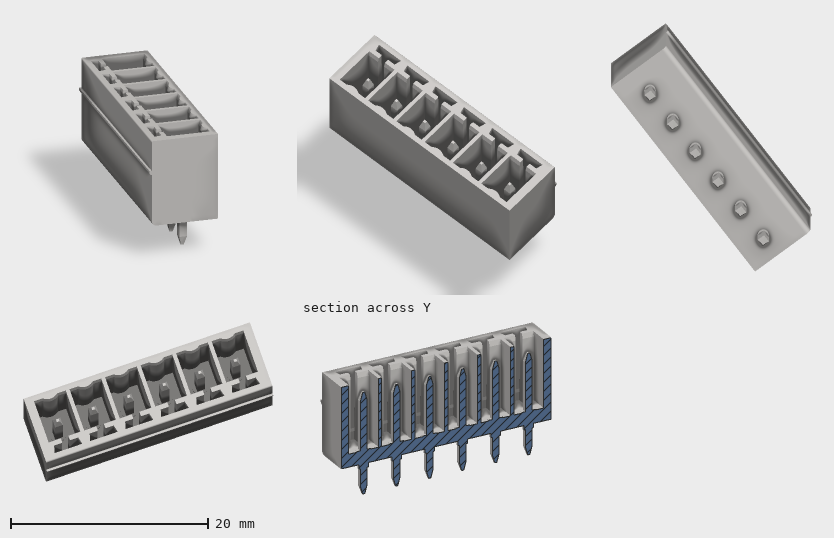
import cadquery as cq
import math

length = 24.25
depth = 7.0
height = 9.22
top_edge_radius = 0.15
bottom_edge_radius = 0.5

rib_reach = 0.25
rib_height = 0.44
rib_drop_from_rim = 3.23
rib_top_z = height - rib_drop_from_rim
rib_radius = 0.22

contact_count = 6
pitch = 3.8
contact_y = 4.0
contact_xs = [(i - (contact_count - 1) / 2) * pitch for i in range(contact_count)]

floor_z = 1.5
cavity_width = 3.4
cavity_front_y = 2.04
cavity_back_y = 6.28
lead_in = 0.15
lead_in_depth = 0.53

key_radius = 1.3
key_centre_y = 7.3

neck_width = 0.8
slot_floor_z = 2.42
slot_front_y = 0.65
slot_back_y = 1.4
slot_floor_back_y = 1.3
slot_front_width = 2.95
slot_back_width = 2.57
neck_corner_radius = 0.12

pin_width = 0.82
pin_tip_width = 0.3
pin_tip_length = 0.97
pin_drop_from_rim = 1.15
pin_top_z = height - pin_drop_from_rim
pin_bottom_z = -3.4
standoff_diameter = 1.2
standoff_height = 0.48
boss_diameter = 1.62
boss_height = 0.07


def make_housing():
    body = cq.Workplane("XY").box(length, depth, height, centered=(True, False, False))
    body = body.edges("<Y and >Z").fillet(top_edge_radius)
    body = body.edges("<Y and <Z").fillet(bottom_edge_radius)
    rib = (
        cq.Workplane("XY", origin=(0, -rib_reach, rib_top_z - rib_height))
        .box(length, 2 * rib_reach, rib_height, centered=(True, False, False))
        .edges("<Y and <Z")
        .fillet(rib_radius)
    )
    return body.union(rib)


def cavity_outline(z, widening):
    """Cavity outline at height z, its front and back walls moved outwards by widening."""
    front_y = cavity_front_y - widening
    back_y = cavity_back_y + widening
    radius = key_radius - widening
    half_width = cavity_width / 2
    half_chord = math.sqrt(radius**2 - (key_centre_y - back_y) ** 2)
    return (
        cq.Workplane("XY", origin=(0, 0, z))
        .moveTo(-half_width, front_y)
        .lineTo(half_width, front_y)
        .lineTo(half_width, back_y)
        .lineTo(half_chord, back_y)
        .threePointArc((0, key_centre_y - radius), (-half_chord, back_y))
        .lineTo(-half_width, back_y)
        .close()
    )


def make_cavity():
    shaft = cavity_outline(floor_z, 0).extrude(height - floor_z)
    bottom_wire = cavity_outline(height - lead_in_depth, 0).wires().val()
    top_wire = cavity_outline(height, lead_in).wires().val()
    mouth = cq.Solid.makeLoft([bottom_wire, top_wire], True)
    return shaft.union(cq.Workplane(mouth))


def dovetail_outline(z, back_y):
    flare = (slot_front_width - slot_back_width) / 2 / (slot_back_y - slot_front_y)
    half_front = slot_front_width / 2
    half_back = half_front - flare * (back_y - slot_front_y)
    points = [
        (-half_front, slot_front_y),
        (half_front, slot_front_y),
        (half_back, back_y),
        (-half_back, back_y),
    ]
    return cq.Workplane("XY", origin=(0, 0, z)).polyline(points).close().wires().val()


def make_slot():
    """Dovetail slot with a slightly sloping back wall, and its rounded neck into the cavity."""
    dovetail = cq.Solid.makeLoft(
        [dovetail_outline(slot_floor_z, slot_floor_back_y), dovetail_outline(height, slot_back_y)], True
    )
    neck_start_y = (slot_front_y + slot_floor_back_y) / 2
    neck = cq.Workplane("XY", origin=(0, neck_start_y, slot_floor_z)).box(
        neck_width, cavity_front_y - neck_start_y, height - slot_floor_z, centered=(True, False, False)
    )
    corner_zone = cq.selectors.BoxSelector(
        (-neck_width, slot_floor_back_y, slot_floor_z + neck_width),
        (neck_width, slot_back_y, height - neck_width),
    )
    slot = cq.Workplane(dovetail).union(neck).edges(corner_zone).fillet(neck_corner_radius)
    deep_neck = cq.Workplane("XY", origin=(0, slot_floor_back_y, floor_z)).box(
        neck_width, cavity_front_y - slot_floor_back_y, height - floor_z, centered=(True, False, False)
    )
    return slot.union(deep_neck)


def make_pin_tip(base_z, direction):
    return (
        cq.Workplane("XY", origin=(0, contact_y, base_z))
        .rect(pin_width, pin_width)
        .workplane(offset=direction * pin_tip_length)
        .rect(pin_tip_width, pin_tip_width)
        .loft()
    )


def make_contact():
    """Square pin pointed at both ends, with a boss on the cavity floor and a standoff below."""
    shank_bottom_z = pin_bottom_z + pin_tip_length
    shank_top_z = pin_top_z - pin_tip_length
    shank = (
        cq.Workplane("XY", origin=(0, contact_y, shank_bottom_z))
        .rect(pin_width, pin_width)
        .extrude(shank_top_z - shank_bottom_z)
    )
    boss = (
        cq.Workplane("XY", origin=(0, contact_y, floor_z))
        .circle(boss_diameter / 2)
        .extrude(boss_height)
    )
    standoff = (
        cq.Workplane("XY", origin=(0, contact_y, -standoff_height))
        .circle(standoff_diameter / 2)
        .extrude(standoff_height)
    )
    tips = make_pin_tip(shank_top_z, 1).union(make_pin_tip(shank_bottom_z, -1))
    return shank.union(tips).union(boss).union(standoff)


recess = make_cavity().union(make_slot())
contact = make_contact()

result = make_housing()
for x in contact_xs:
    result = result.cut(recess.translate((x, 0, 0)))
    result = result.union(contact.translate((x, 0, 0)))